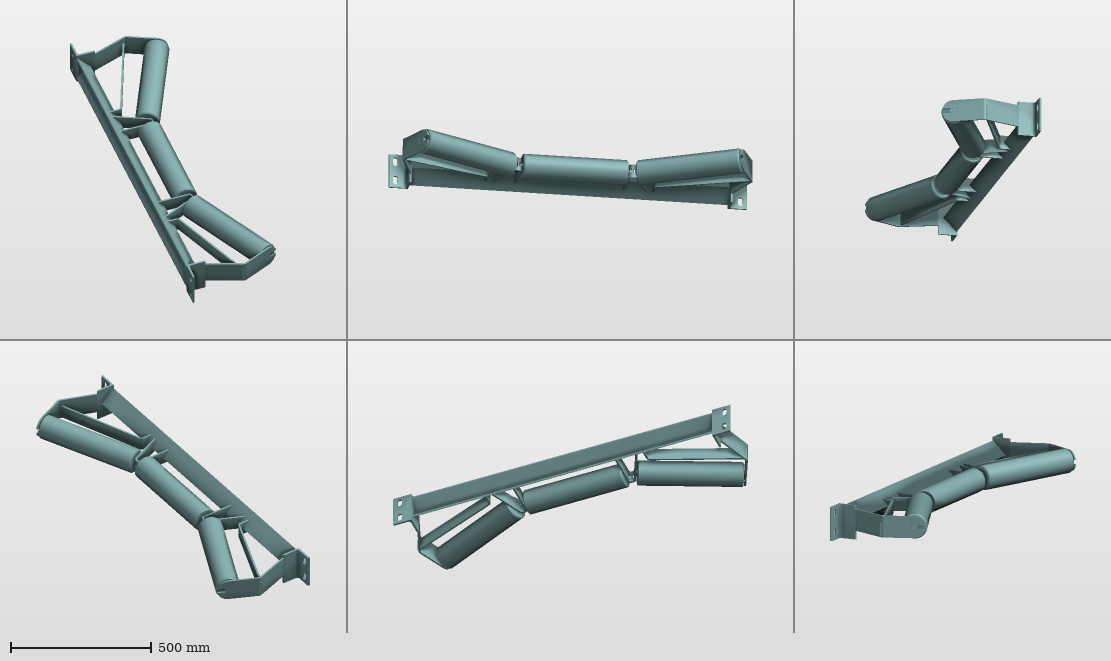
import cadquery as cq
import math

overall_length = 1300.0
angle_leg = 70.0
angle_thickness = 7.0
angle_root_radius = 9.0
angle_toe_radius = 4.5

beam_half_length = overall_length / 2 - angle_leg
toe_rounding_loss = angle_toe_radius * (math.sqrt(2) - 1)
beam_apex_y = (angle_leg + angle_thickness) / math.sqrt(2) - toe_rounding_loss
foot_height = 125.0
foot_slot_width = 18.0
foot_slot_length = 31.0
foot_slot_x = 625.0
foot_slot_z = 35.0

roller_length = 380.0
roller_diameter = 90.0
roller_chamfer = 4.0
shaft_diameter = 25.0
shaft_flat_width = 17.0
end_gap = 4.0
centre_roller_y = 136.0
wing_angle = 25.0
wing_tilt = 1.5
wing_centre = (404.0, 224.0, 5.0)

plate_thickness = 6.0
bend_radius = 8.0
post_width = 79.0
post_centre_z = 9.8
post_head_radius = 39.0
elbow_distance = 115.0
inner_plate_width = 50.0
bracket_top_y = 159.0
brace_foot_x = 304.0
brace_bend_y = 69.0
brace_top_y = 198.0

shaft_radius = shaft_diameter / 2
leg_centre_offset = roller_length / 2 + end_gap + plate_thickness / 2
shaft_half_length = leg_centre_offset + plate_thickness / 2


def wing_point(along, across):
    """Plan point at a distance along and across the axis of the +X wing roller."""
    angle = math.radians(wing_angle)
    x = wing_centre[0] + along * math.cos(angle) - across * math.sin(angle)
    y = wing_centre[1] + along * math.sin(angle) + across * math.cos(angle)
    return (x, y)


def wing_line_at_y(along, y):
    """Plan point at height y on the line that crosses the wing axis at a distance along it."""
    start_y = wing_point(along, 0)[1]
    return wing_point(along, (y - start_y) / math.cos(math.radians(wing_angle)))


def place_centre(body):
    return body.translate((0, centre_roller_y, 0))


def place_wing(body):
    """Tilt, swing and move a body built along X to the +X wing roller."""
    tilted = body.rotate((0, 0, 0), (0, 1, 0), -wing_tilt)
    swung = tilted.rotate((0, 0, 0), (0, 0, 1), wing_angle)
    return swung.translate(wing_centre)


def mirrored(body):
    return body.mirror("YZ")


def angle_section(length):
    """Rolled angle with its legs along +X and +Y, extruded along Z about the middle."""
    body = (
        cq.Workplane("XY")
        .moveTo(0, 0)
        .lineTo(angle_leg, 0)
        .lineTo(angle_leg, angle_thickness)
        .lineTo(angle_thickness, angle_thickness)
        .lineTo(angle_thickness, angle_leg)
        .lineTo(0, angle_leg)
        .close()
        .extrude(length / 2, both=True)
    )
    root = cq.NearestToPointSelector((angle_thickness, angle_thickness, 0))
    body = body.edges("|Z").edges(root).fillet(angle_root_radius)
    for toe in ((angle_leg, angle_thickness, 0), (angle_thickness, angle_leg, 0)):
        body = body.edges("|Z").edges(cq.NearestToPointSelector(toe)).fillet(angle_toe_radius)
    return body


def bent_plate(path, width, centre_z):
    """Constant-thickness plate following a plan path, with mitred then rounded bends."""
    half = plate_thickness / 2
    headings = [math.atan2(b[1] - a[1], b[0] - a[0]) for a, b in zip(path, path[1:])]
    left, right, bends = [], [], []
    for index, (x, y) in enumerate(path):
        before = headings[max(index - 1, 0)]
        after = headings[min(index, len(headings) - 1)]
        reach = half / math.cos((after - before) / 2)
        normal = (before + after) / 2 + math.pi / 2
        dx = reach * math.cos(normal)
        dy = reach * math.sin(normal)
        left.append((x + dx, y + dy))
        right.append((x - dx, y - dy))
        if 0 < index < len(path) - 1:
            inner, outer = (left[-1], right[-1]) if after > before else (right[-1], left[-1])
            bends.append((inner, bend_radius))
            bends.append((outer, bend_radius + plate_thickness))
    outline = cq.Workplane("XY").polyline(left + right[::-1]).close()
    plate = outline.extrude(width / 2, both=True)
    for (x, y), radius in bends:
        plate = plate.edges("|Z").edges(cq.NearestToPointSelector((x, y, 0))).fillet(radius)
    return plate.translate((0, 0, centre_z))


def axial_cylinder(diameter, length):
    """Cylinder along X, centred on the origin."""
    return cq.Workplane("YZ").workplane(offset=-length / 2).circle(diameter / 2).extrude(length)


def roller_shell():
    shell = axial_cylinder(roller_diameter, roller_length).faces("|X").chamfer(roller_chamfer)
    return shell.cut(axial_cylinder(shaft_diameter, roller_length))


def shaft():
    """Round shaft with two flats on each projecting end."""
    ends = axial_cylinder(shaft_diameter, 2 * shaft_half_length).intersect(
        cq.Workplane("XY").box(2 * shaft_half_length, shaft_diameter, shaft_flat_width)
    )
    return ends.union(axial_cylinder(shaft_diameter, roller_length))


def shaft_slot():
    """Open slots above the flats at both ends of a shaft, as one cutting body."""
    depth = shaft_radius + roller_diameter
    length = 2 * (shaft_half_length + end_gap)
    return cq.Workplane("XY").box(length, depth, shaft_flat_width).translate(
        (0, depth / 2 - shaft_radius, 0)
    )


def beam_envelope():
    """Square prism on edge whose two +Y faces are the outer faces of the beam."""
    return (
        cq.Workplane("YZ")
        .polyline([(beam_apex_y, 0), (0, beam_apex_y), (-beam_apex_y, 0), (0, -beam_apex_y)])
        .close()
        .extrude(beam_half_length, both=True)
    )


def inner_bracket():
    """Two-legged bracket between the centre roller and the +X wing roller."""
    cap_y = bracket_top_y - plate_thickness / 2
    path = [
        (leg_centre_offset, 0),
        (leg_centre_offset, cap_y),
        wing_line_at_y(-leg_centre_offset, cap_y),
        wing_line_at_y(-leg_centre_offset, 0),
    ]
    bracket = bent_plate(path, inner_plate_width, 0)
    bracket = bracket.cut(place_centre(shaft_slot()))
    bracket = bracket.cut(place_wing(shaft_slot()))
    return bracket.cut(beam_envelope())


def beam_with_brackets():
    """Angle with its edge pointing to +Y and its open side to -Y, carrying both inner brackets."""
    profile = angle_section(2 * beam_half_length)
    turned = profile.rotate((0, 0, 0), (0, 0, 1), 135)
    along_x = turned.rotate((0, 0, 0), (1, 1, 1), 120)
    bracket = inner_bracket()
    return along_x.translate((0, beam_apex_y, 0)).union(bracket).union(mirrored(bracket))


def foot():
    """Angle foot with its flange on the -Y face and two slotted holes."""
    slots = (
        cq.Workplane("XZ")
        .pushPoints([(foot_slot_x, foot_slot_z), (foot_slot_x, -foot_slot_z)])
        .slot2D(foot_slot_length, foot_slot_width, 90)
        .extrude(-angle_thickness)
    )
    return angle_section(foot_height).translate((beam_half_length, 0, 0)).cut(slots)


def post():
    """Bent post from the foot to the outer end of the +X wing roller, with a rounded head."""
    leg_middle_x = beam_half_length + angle_thickness / 2
    path = [
        (leg_middle_x, angle_leg - plate_thickness),
        (leg_middle_x, angle_leg),
        wing_point(leg_centre_offset, -elbow_distance),
        wing_point(leg_centre_offset, post_width / 2),
    ]
    angle = math.radians(wing_angle)
    head_corners = cq.ParallelDirSelector(cq.Vector(math.cos(angle), math.sin(angle), 0))
    return bent_plate(path, post_width, post_centre_z).edges(head_corners).fillet(post_head_radius)


def brace():
    """Bent strut from the beam up to the post just below its elbow."""
    elbow = (brace_foot_x, brace_bend_y)
    top_x = wing_line_at_y(leg_centre_offset, brace_top_y)[0]
    plate = bent_plate([(brace_foot_x, 0), elbow, (top_x, brace_top_y)], inner_plate_width, 0)
    return plate.cut(beam_envelope())


def side_frame():
    """Foot, post and brace of the +X side, welded together."""
    slotted_post = post().cut(place_wing(shaft_slot()))
    return foot().union(slotted_post).union(brace())


beam = beam_with_brackets()
centre_roller = place_centre(roller_shell())
centre_shaft = place_centre(shaft())
bodies = [beam, centre_roller, centre_shaft]
for side_body in (side_frame(), place_wing(roller_shell()), place_wing(shaft())):
    bodies.append(side_body)
    bodies.append(mirrored(side_body))

result = cq.Compound.makeCompound([body.val() for body in bodies])